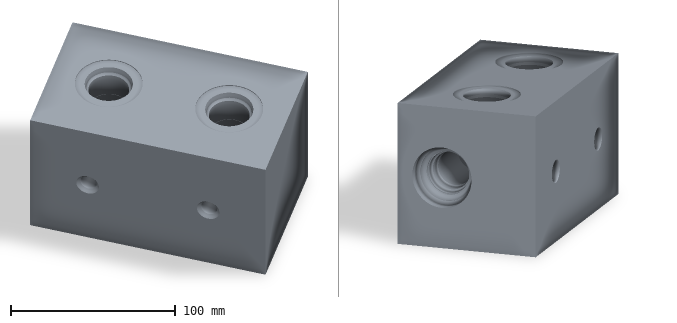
import cadquery as cq
import math

block_length = 149.2
block_side = 89.0

port_spacing = 76.4
port_positions = (-port_spacing / 2, port_spacing / 2)

drill_half_angle = math.radians(59)

spot_face_radius = 20.6
spot_face_depth = 0.6
seal_mouth_radius = 14.6
seal_base_radius = 13.7
seal_depth = 3.5
port_thread_radius = 12.4
port_thread_depth = 20.9
port_bore_radius = 12.1

gauge_mouth_radius = 7.2
gauge_radius = 5.0

cavity_y = 16.0
mouth_radius = 19.1
mouth_depth = 7.0
chamfer_radius = 16.9
chamfer_land = 0.6
seat_radius = 13.7
seat_length = 2.1
thread_radius = 13.3
thread_length = 3.5
guide_radius = 12.0
guide_length = 6.0
nose_radius = 11.0
nose_end_depth = 59.7
gallery_radius = 8.8
gallery_end_depth = 119.0


def drill_point(from_radius, to_radius):
    """Axial length of a drill-point cone between two radii."""
    return (from_radius - to_radius) / math.tan(drill_half_angle)


def revolved_cutter(steps):
    """Solid of revolution about +Z, from (axial advance, radius) steps that end on the axis."""
    depth = 0.0
    profile = cq.Workplane("XZ").moveTo(0, 0)
    for advance, radius in steps:
        depth += advance
        profile = profile.lineTo(radius, depth)
    return profile.close().revolve(360, (0, 0, 0), (0, 1, 0))


def port_cutter():
    thread_chamfer = seal_base_radius - port_thread_radius
    thread_start_depth = spot_face_depth + seal_depth + thread_chamfer
    cutter = revolved_cutter([
        (0, spot_face_radius),
        (spot_face_depth, spot_face_radius),
        (0, seal_mouth_radius),
        (seal_depth, seal_base_radius),
        (thread_chamfer, port_thread_radius),
        (port_thread_depth - thread_start_depth, port_thread_radius),
        (0, port_bore_radius),
        (block_side - port_thread_depth, port_bore_radius),
        (0, 0),
    ])
    return cutter.rotate((0, 0, 0), (1, 0, 0), 180).translate((0, 0, block_side / 2))


def gauge_cutter():
    cone_length = gauge_mouth_radius - gauge_radius
    cutter = revolved_cutter([
        (0, gauge_mouth_radius),
        (cone_length, gauge_radius),
        (block_side / 2 - cone_length, gauge_radius),
        (0, 0),
    ])
    return cutter.rotate((0, 0, 0), (1, 0, 0), -90).translate((0, -block_side / 2, 0))


def cavity_cutter():
    nose_chamfer = guide_radius - nose_radius
    nose_start_depth = (
        mouth_depth + drill_point(mouth_radius, chamfer_radius)
        + chamfer_land + drill_point(chamfer_radius, seat_radius)
        + seat_length + thread_length + drill_point(thread_radius, guide_radius)
        + guide_length + nose_chamfer
    )
    cutter = revolved_cutter([
        (0, mouth_radius),
        (mouth_depth, mouth_radius),
        (drill_point(mouth_radius, chamfer_radius), chamfer_radius),
        (chamfer_land, chamfer_radius),
        (drill_point(chamfer_radius, seat_radius), seat_radius),
        (seat_length, seat_radius),
        (0, thread_radius),
        (thread_length, thread_radius),
        (drill_point(thread_radius, guide_radius), guide_radius),
        (guide_length, guide_radius),
        (nose_chamfer, nose_radius),
        (nose_end_depth - nose_start_depth, nose_radius),
        (0, gallery_radius),
        (gallery_end_depth - nose_end_depth, gallery_radius),
        (drill_point(gallery_radius, 0), 0),
    ])
    return cutter.rotate((0, 0, 0), (0, 1, 0), 90).translate((-block_length / 2, cavity_y, 0))


result = cq.Workplane("XY").box(block_length, block_side, block_side)
for x in port_positions:
    result = result.cut(port_cutter().translate((x, 0, 0)))
    result = result.cut(gauge_cutter().translate((x, 0, 0)))
result = result.cut(cavity_cutter())